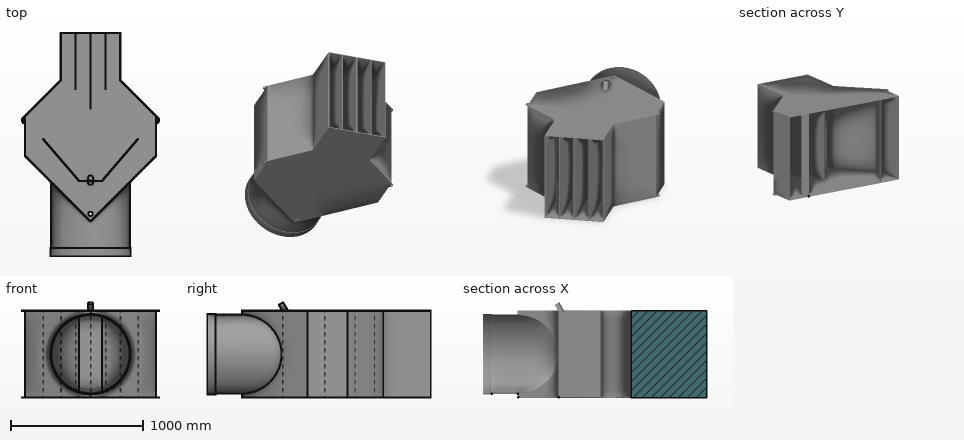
import cadquery as cq
import math

overall_length = 1688.0
body_height = 660.0
half_body_width = 496.0
half_neck_width = 227.0
nose_y = 260.0
neck_start_y = 1330.0
sheet = 5.0

half_ear_span = 518.0
ear_bottom_y = 1002.0
ear_hole_diameter = 15.0
ear_hole_x = 507.0
ear_hole_y = 1030.0

pipe_outer_diameter = 600.0
pipe_bore_diameter = 590.0
collar_outer_diameter = 610.0
collar_length = 65.0
collar_overlap = 5.0

nose_hole_diameter = 32.0
nose_hole_y = 320.0
spigot_outer_diameter = 40.0
spigot_bore_diameter = 36.67
spigot_base_y = 587.0
spigot_tilt = 30.0
spigot_rise = 62.63

deflector_front_y = 567.0
half_deflector_front = 88.0
half_deflector_width = 360.0
deflector_end_y = 884.0
splitter_spacing = half_neck_width / 2
side_splitter_start_y = 1262.0
middle_splitter_start_y = 1115.0

half_height = body_height / 2
ear_radius = half_ear_span - half_body_width
inner_height = body_height - 2 * sheet
baffle_height = body_height - sheet
nose_corner_y = nose_y + half_body_width
shoulder_corner_y = neck_start_y - (half_body_width - half_neck_width)
ear_top_y = neck_start_y - (half_ear_span - half_neck_width)


def prism(outline, height):
    """Extrude a closed plan outline symmetrically about Z = 0."""
    return outline.extrude(height / 2, both=True)


def y_cylinder(diameter, start, end):
    """Cylinder on the pipe axis between two Y positions."""
    return cq.Workplane("XZ", origin=(0, start, 0)).circle(diameter / 2).extrude(start - end)


def body_outline():
    """Plan outline of the housing: nose, straight sides, shoulders and neck."""
    right_side = [
        (0, nose_y),
        (half_body_width, nose_corner_y),
        (half_body_width, shoulder_corner_y),
        (half_neck_width, neck_start_y),
        (half_neck_width, overall_length),
    ]
    left_side = [(-x, y) for x, y in reversed(right_side[1:])]
    return cq.Workplane("XY").polyline(right_side + left_side).close()


def make_cavity():
    """Inside of the walls, running out through the open end of the neck."""
    cavity = prism(body_outline().offset2D(-sheet), inner_height)
    neck_opening = cq.Workplane("XY").box(
        2 * (half_neck_width - sheet), 2 * sheet, inner_height
    ).translate((0, overall_length, 0))
    return cavity.union(neck_opening)


def make_ears(side):
    """Top and bottom ear on one side (side = 1 or -1)."""
    arc_center_y = ear_bottom_y + ear_radius
    arc_reach = ear_radius * math.sqrt(0.5)
    root_x = half_body_width - sheet
    outline = (
        cq.Workplane("XY")
        .moveTo(side * root_x, ear_bottom_y)
        .lineTo(side * half_body_width, ear_bottom_y)
        .threePointArc(
            (side * (half_body_width + arc_reach), arc_center_y - arc_reach),
            (side * half_ear_span, arc_center_y),
        )
        .lineTo(side * half_ear_span, ear_top_y)
        .lineTo(side * root_x, ear_top_y + half_ear_span - root_x)
        .close()
    )
    gap_between_ears = cq.Workplane("XY").box(
        2 * half_ear_span, 2 * overall_length, inner_height
    )
    return prism(outline, body_height).cut(gap_between_ears)


def cut_ear_holes(part):
    """Holes through the upper and lower ears on both sides."""
    holes = (
        cq.Workplane("XY")
        .pushPoints([(ear_hole_x, ear_hole_y), (-ear_hole_x, ear_hole_y)])
        .circle(ear_hole_diameter / 2)
    )
    return part.cut(prism(holes, body_height))


def make_pipe(body_block):
    """Pipe and collar, trimmed where the pipe meets the nose walls."""
    pipe = y_cylinder(pipe_outer_diameter, collar_length - collar_overlap, nose_corner_y)
    collar = y_cylinder(collar_outer_diameter, 0, collar_length)
    return pipe.cut(body_block).union(collar)


def cut_pipe_bore(part):
    """Bore the pipe through the nose walls and widen it inside the collar."""
    nose_wall_end_y = nose_y + pipe_outer_diameter / 2
    bore = y_cylinder(pipe_bore_diameter, 0, nose_wall_end_y)
    socket = y_cylinder(pipe_outer_diameter, 0, collar_length - collar_overlap)
    return part.cut(bore).cut(socket)


def cut_nose_holes(part):
    """Hole through both plates near the tip of the nose."""
    hole = cq.Workplane("XY").center(0, nose_hole_y).circle(nose_hole_diameter / 2)
    return part.cut(prism(hole, body_height))


def add_spigot(part):
    """Inclined tube on the top plate; its bore opens into the housing."""
    tilt = math.radians(spigot_tilt)
    radius = spigot_outer_diameter / 2
    length = (spigot_rise - radius * math.sin(tilt)) / math.cos(tilt)
    direction = cq.Vector(0, -math.sin(tilt), math.cos(tilt))
    base = cq.Vector(0, spigot_base_y, half_height)
    root = base - direction * spigot_outer_diameter

    def tube(diameter):
        return cq.Workplane(
            cq.Solid.makeCylinder(diameter / 2, length + spigot_outer_diameter, root, direction)
        )

    below_top = cq.Workplane("XY").box(
        half_body_width, 2 * overall_length, body_height - sheet
    ).translate((0, 0, -sheet / 2))
    return part.union(tube(spigot_outer_diameter).cut(below_top)).cut(tube(spigot_bore_diameter))


def make_deflector():
    """Bent plate facing the pipe, spanning from bottom plate to top plate."""
    front_path = [
        (half_deflector_front, deflector_front_y),
        (half_deflector_width, deflector_end_y),
    ]
    slope = math.atan2(
        deflector_end_y - deflector_front_y, half_deflector_width - half_deflector_front
    )
    bend_shift = sheet * math.tan(slope / 2)
    back_path = [
        (half_deflector_front - bend_shift, deflector_front_y + sheet),
        (half_deflector_width - sheet * math.sin(slope), deflector_end_y + sheet * math.cos(slope)),
    ]
    right_side = front_path + back_path[::-1]
    left_side = [(-x, y) for x, y in reversed(right_side)]
    return prism(cq.Workplane("XY").polyline(right_side + left_side).close(), baffle_height)


def make_splitter(x, start_y):
    """Upright plate running along the neck to its open end."""
    length = overall_length - start_y
    return cq.Workplane("XY").box(sheet, length, baffle_height).translate(
        (x, start_y + length / 2, 0)
    )


body_block = prism(body_outline(), body_height)
result = body_block.cut(make_cavity())
for ear_side in (1, -1):
    result = result.union(make_ears(ear_side))
result = cut_ear_holes(result)
result = result.union(make_pipe(body_block))
result = cut_pipe_bore(result)
result = cut_nose_holes(result)
result = add_spigot(result)
result = result.union(make_deflector())
result = result.union(make_splitter(0, middle_splitter_start_y))
for splitter_x in (splitter_spacing, -splitter_spacing):
    result = result.union(make_splitter(splitter_x, side_splitter_start_y))